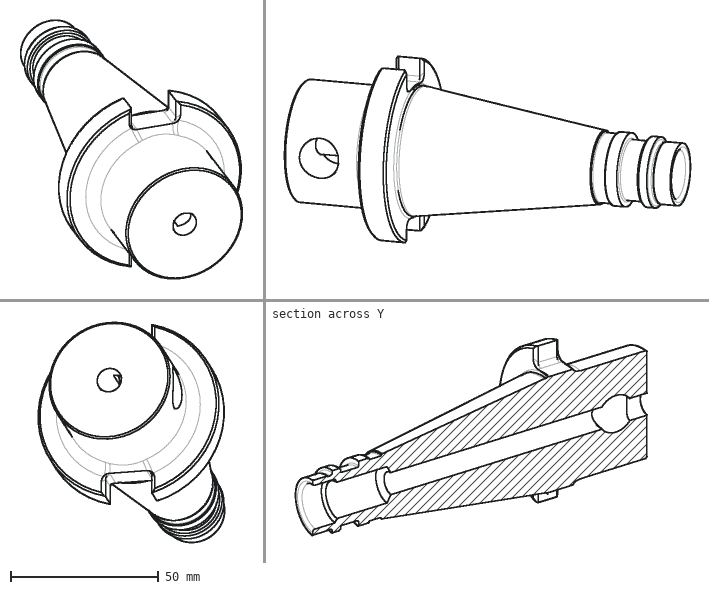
import cadquery as cq
import math

total_length = 135.0
gauge_x = 93.4
flange_gap = 1.6
flange_width = 10.0
flange_front_x = gauge_x + flange_gap
flange_back_x = flange_front_x + flange_width

gauge_radius = 44.45 / 2
taper_slope = 7 / 48
taper_start_x = 28.0
taper_start_radius = gauge_radius - taper_slope * (gauge_x - taper_start_x)
taper_groove_width = 0.8
root_fillet = flange_gap - taper_groove_width

pilot_radius = 10.7
pilot_end_x = 5.9
relief_radius = 10.4
relief_chamfer_x = 6.2
ring_front_x = 7.9
ring_back_x = 11.5
ring_radius = 12.15
ring_fillet = 0.9
ring_chamfer = 0.7
neck_radius = 10.4
collar_front_x = 18.5
collar_radius = 25.3 / 2
collar_back_x = 22.9
collar_chamfer = 0.3
collar_fillet = 0.5
undercut_radius = 12.0
undercut_fillet = collar_radius - collar_chamfer - undercut_radius
undercut_end_x = 27.7

flange_radius = 62.8 / 2
flange_chamfer = 0.8
slot_width = 16.1
slot_floor_z = 22.5
slot_corner_radius = 1.6
slot_chamfer = 1.2

body_radius = 42.0 / 2
body_fillet = 4.0
body_chamfer = 0.6
joint_margin = 0.5

bore_radius = 8.4
bore_mouth_fillet = 1.1
bore_depth = 9.0
thread_radius = 6.95
thread_end_x = 30.0
through_radius = 4.2
drill_half_angle = math.radians(60)
lead_in_length = (bore_radius - thread_radius) / math.tan(drill_half_angle)
cone_length = (thread_radius - through_radius) / math.tan(drill_half_angle)

screw_x = 122.4
screw_radius = 7.0


def revolve_about_x(profile):
    """Close a half profile and spin it around the X axis."""
    return profile.close().revolve(360, (0, 0, 0), (1, 0, 0))


def make_shank():
    """Tail and taper, up to the front face of the flange."""
    profile = (
        cq.Workplane("XZ")
        .lineTo(0, pilot_radius)
        .lineTo(pilot_end_x, pilot_radius)
        .lineTo(relief_chamfer_x, relief_radius)
        .lineTo(ring_front_x - ring_fillet, relief_radius)
        .radiusArc((ring_front_x, relief_radius + ring_fillet), -ring_fillet)
        .lineTo(ring_front_x, ring_radius)
        .lineTo(ring_back_x - ring_chamfer, ring_radius)
        .lineTo(ring_back_x, ring_radius - ring_chamfer)
        .lineTo(ring_back_x, neck_radius)
        .lineTo(collar_front_x - collar_fillet, neck_radius)
        .radiusArc((collar_front_x, neck_radius + collar_fillet), -collar_fillet)
        .lineTo(collar_front_x, collar_radius)
        .lineTo(collar_back_x - collar_chamfer, collar_radius)
        .lineTo(collar_back_x, collar_radius - collar_chamfer)
        .radiusArc((collar_back_x + undercut_fillet, undercut_radius), -undercut_fillet)
        .lineTo(undercut_end_x - undercut_fillet, undercut_radius)
        .radiusArc((undercut_end_x, undercut_radius + undercut_fillet), -undercut_fillet)
        .lineTo(taper_start_x, taper_start_radius)
        .lineTo(gauge_x, gauge_radius)
        .lineTo(flange_front_x - root_fillet, gauge_radius)
        .radiusArc((flange_front_x, gauge_radius + root_fillet), -root_fillet)
        .lineTo(flange_front_x, 0)
    )
    return revolve_about_x(profile)


def make_flange():
    """Chamfered disc with its two drive slots."""
    flange = (
        cq.Workplane("YZ", origin=(flange_front_x, 0, 0))
        .circle(flange_radius)
        .extrude(flange_width)
        .edges()
        .chamfer(flange_chamfer)
    )
    slot = make_slot()
    for turn in (0, 180):
        flange = flange.cut(slot.rotate((0, 0, 0), (1, 0, 0), turn))
    return flange


def make_body():
    """Plain cylinder behind the flange."""
    return (
        cq.Workplane("YZ", origin=(flange_back_x, 0, 0))
        .circle(body_radius)
        .extrude(total_length - flange_back_x)
        .faces(">X")
        .chamfer(body_chamfer)
    )


def make_axial_hole():
    """Stepped hole that runs through the part from the tail end."""
    profile = (
        cq.Workplane("XZ")
        .lineTo(0, bore_radius + bore_mouth_fillet)
        .radiusArc((bore_mouth_fillet, bore_radius), -bore_mouth_fillet)
        .lineTo(bore_depth, bore_radius)
        .lineTo(bore_depth + lead_in_length, thread_radius)
        .lineTo(thread_end_x, thread_radius)
        .lineTo(thread_end_x + cone_length, through_radius)
        .lineTo(total_length, through_radius)
        .lineTo(total_length, 0)
    )
    return revolve_about_x(profile)


def slot_outline(x, widening):
    """Outline of the +Z drive slot, widened evenly above a floor of fixed width."""
    corner_radius = slot_corner_radius + widening
    corner_y = slot_width / 2 - slot_corner_radius
    corner_z = slot_floor_z + corner_radius
    half_width = slot_width / 2 + widening
    return (
        cq.Workplane("YZ", origin=(x, 0, 0))
        .moveTo(-half_width, flange_radius)
        .lineTo(-half_width, corner_z)
        .radiusArc((-corner_y, slot_floor_z), -corner_radius)
        .lineTo(corner_y, slot_floor_z)
        .radiusArc((half_width, corner_z), -corner_radius)
        .lineTo(half_width, flange_radius)
        .close()
    )


def make_slot():
    """Cutter for the +Z drive slot, its side walls chamfered at both flange faces."""
    slot = slot_outline(flange_front_x, 0).extrude(flange_width)
    for face_x, inward in ((flange_front_x, 1), (flange_back_x, -1)):
        mouth = slot_outline(face_x, slot_chamfer).val()
        throat = slot_outline(face_x + inward * slot_chamfer, 0).val()
        slot = slot.union(cq.Workplane(cq.Solid.makeLoft([mouth, throat], True)))
    return slot


def make_screw_hole():
    """Radial hole from the +Y side down to the axial hole."""
    return (
        cq.Workplane("XZ", origin=(screw_x, 0, 0))
        .circle(screw_radius)
        .extrude(-flange_radius)
    )


def make_head():
    """Flange and body, blended by a fillet that rides the slot floors where they cut it short."""
    reach = body_radius + joint_margin
    joint = cq.selectors.BoxSelector(
        (flange_back_x - joint_margin, -reach, -reach),
        (flange_back_x + joint_margin, reach, reach),
        boundingbox=True,
    )
    return make_flange().union(make_body()).edges(joint).fillet(body_fillet)


result = make_head().union(make_shank()).cut(make_axial_hole()).cut(make_screw_hole())